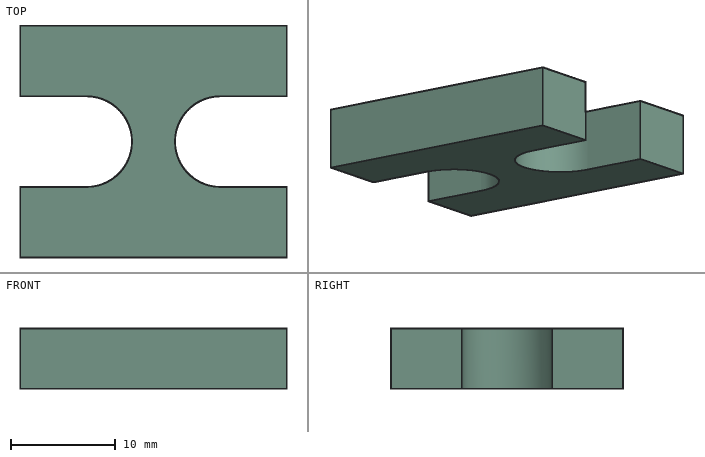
import cadquery as cq

length = 25.4
width = 22.1
height = 5.75

slot_width = 8.6
web_thickness = 4.11

slot_radius = slot_width / 2
slot_arc_center = web_thickness / 2 + slot_radius


def end_slot(side):
    """Through-cutter for one slot; side is +1 or -1 along X."""
    center_x = side * slot_arc_center
    end_x = side * length / 2
    return (
        cq.Workplane("XY")
        .moveTo(end_x, slot_radius)
        .lineTo(center_x, slot_radius)
        .threePointArc((side * web_thickness / 2, 0), (center_x, -slot_radius))
        .lineTo(end_x, -slot_radius)
        .close()
        .extrude(height)
    )


result = cq.Workplane("XY").box(length, width, height, centered=(True, True, False))
for side in (-1, 1):
    result = result.cut(end_slot(side))